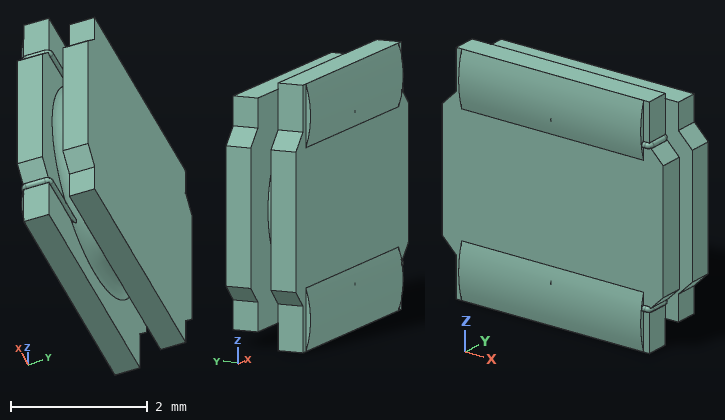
import cadquery as cq
import math

half_width = 2.0
total_depth = 1.2
flange_thickness = 0.4
terminal_rise = 0.075
neck_length = total_depth - 2 * flange_thickness - terminal_rise

corner_step = 0.25
narrow_half_width = half_width - corner_step
shoulder_end_z = 1.05
step_end_z = shoulder_end_z + corner_step
front_half_height = half_width
rear_half_height = narrow_half_width

neck_rear_radius = 1.39
neck_front_radius = 1.63

terminal_length = 3.29

wire_radius = 0.05
bend_radius = wire_radius
wire_z = step_end_z
wire_end_x = 0.0

rear_of_front_flange = flange_thickness
front_of_rear_flange = flange_thickness + neck_length


def make_flange(front_y, half_height):
    """Flange plate with stepped corners, its front face at front_y."""
    right_side = [
        (narrow_half_width, half_height),
        (narrow_half_width, step_end_z),
        (half_width, shoulder_end_z),
        (half_width, -shoulder_end_z),
        (narrow_half_width, -step_end_z),
        (narrow_half_width, -half_height),
    ]
    left_side = [(-x, z) for x, z in reversed(right_side)]
    plate = cq.Workplane("XZ").polyline(right_side + left_side).close().extrude(-flange_thickness)
    return plate.translate((0, front_y, 0))


def make_neck():
    """Solid of revolution about Y whose concave flank meets the rear flange squarely."""
    flare = neck_front_radius - neck_rear_radius
    flank_radius = (neck_length**2 + flare**2) / (2 * flare)
    half_sweep = math.asin(neck_length / flank_radius) / 2
    flank_middle = (
        neck_rear_radius + flank_radius * (1 - math.cos(half_sweep)),
        front_of_rear_flange - flank_radius * math.sin(half_sweep),
    )
    return (
        cq.Workplane("XY")
        .moveTo(0, rear_of_front_flange)
        .lineTo(neck_front_radius, rear_of_front_flange)
        .threePointArc(flank_middle, (neck_rear_radius, front_of_rear_flange))
        .lineTo(0, front_of_rear_flange)
        .close()
        .revolve(360, (0, 0, 0), (0, 1, 0))
    )


def make_terminal(side):
    """Shallow domed strip along the upper (side = 1) or lower (side = -1) end of the front flange."""
    outer_z = side * front_half_height
    inner_z = side * shoulder_end_z
    return (
        cq.Workplane("YZ")
        .moveTo(0, outer_z)
        .threePointArc((-terminal_rise, (outer_z + inner_z) / 2), (0, inner_z))
        .close()
        .extrude(terminal_length / 2, both=True)
    )


def make_wire(side):
    """Round wire bent in a U around the +X edge of the front flange."""
    edge_x = narrow_half_width
    bend_start_x = edge_x - bend_radius
    bend_offset = bend_radius * (1 - math.sqrt(0.5))
    path = (
        cq.Workplane("XY", origin=(0, 0, side * wire_z))
        .moveTo(wire_end_x, 0)
        .lineTo(bend_start_x, 0)
        .threePointArc((edge_x - bend_offset, bend_offset), (edge_x, bend_radius))
        .lineTo(edge_x, rear_of_front_flange - bend_radius)
        .threePointArc(
            (edge_x - bend_offset, rear_of_front_flange - bend_offset),
            (bend_start_x, rear_of_front_flange),
        )
        .lineTo(wire_end_x, rear_of_front_flange)
    )
    section = cq.Workplane("YZ", origin=(wire_end_x, 0, side * wire_z)).circle(wire_radius)
    return section.sweep(path)


front_flange = make_flange(0, front_half_height)
rear_flange = make_flange(front_of_rear_flange, rear_half_height)
neck = make_neck()
terminals = []
wires = []

for side in (1, -1):
    wire = make_wire(side)
    front_flange = front_flange.cut(wire)
    neck = neck.cut(wire)
    terminals.append(make_terminal(side).cut(wire))
    wires.append(wire)

result = cq.Compound.makeCompound(
    [
        front_flange.solids().val(),
        rear_flange.val(),
        neck.solids().val(),
        *[terminal.solids().val() for terminal in terminals],
        *[wire.val() for wire in wires],
    ]
)